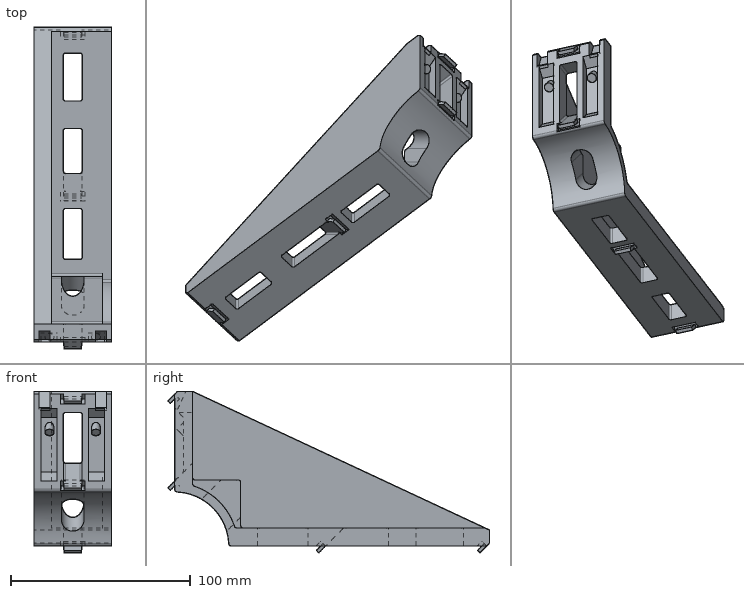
import cadquery as cq
import math

WIDTH = 43.0
LENGTH = 175.0
HEIGHT = 86.0
PLATE = 10.0
SIDE_WALL = 9.8
BACK_EDGE = 9.0
EDGE_CHAMFER = 1.6

SCALLOP_RADIUS = 30.0
SCALLOP_ROUND = 1.6
SHELL_RADIUS = 35.0
BLOCK_SIZE = 36.7
BLOCK_SETBACK = 5.0
BLOCK_ROUND = 1.0
INNER_ROUND = 1.6
HOLE_WIDTH = 12.5
HOLE_LENGTH = 22.3
HOLE_DROP = 3.4

SLOT_WIDTH = 10.4
SLOT_ROUND = 1.0
PLAIN_BASE_SLOTS = ((46.1, 74.2), (134.1, 160.5))
TABBED_BASE_SLOT_END = 118.7
TABBED_FRONT_SLOT_END = 74.2

TAB_REACH = 3.8
TAB_THICKNESS = 2.0
TAB_ROOT_WIDTH = 10.5
TAB_TIP_WIDTH = 9.5
TAB_EMBED = 0.9
GROOVE_WIDTH = 13.8
GROOVE_HEIGHT = 5.4
INNER_FRONT_TAB = 36.1
INNER_BASE_TAB = 83.9

CHANNEL_OFFSET = 13.2
CHANNEL_WIDTH = 8.8
CHANNEL_DEPTH = 5.0
CHANNEL_BOTTOM = 36.3
CHANNEL_TOP = 76.3
PEG_OFFSET = 12.9
PEG_DIAMETER = 5.2
PEG_END_Y = 3.0
PEG_END_Z = 63.1
PEG_LENGTH = 6.3
NOTCH_OFFSET = 15.7
NOTCH_WIDTH = 6.3
NOTCH_TOP_DEPTH = 6.3
NOTCH_FOOT_DEPTH = 1.5
NOTCH_FOOT_Z = 75.5

LEFT = -WIDTH / 2
RIGHT = WIDTH / 2
WALL_FACE = LEFT + SIDE_WALL
BLOCK_SIDE = RIGHT - BLOCK_SETBACK
OVERCUT = 1.8


def prism(points, x_start, x_end):
    """Extrude a (Y, Z) polygon between two X positions."""
    return cq.Workplane("YZ", origin=(x_start, 0, 0)).polyline(points).close().extrude(x_end - x_start)


def centred_prism(points, width, x_centre=0):
    return prism(points, x_centre - width / 2, x_centre + width / 2)


def corner_cylinder(radius, x_start, x_end):
    """Cylinder along X around the lower front corner."""
    return cq.Workplane("YZ", origin=(x_start, 0, 0)).circle(radius).extrude(x_end - x_start)


def edge_at(y, z):
    """Selector for the edge along X that lies nearest to (Y, Z)."""
    return cq.selectors.NearestToPointSelector((0, y, z))


def swap_base_and_front(body):
    """Exchange Y and Z, turning a front-face feature into an underside feature."""
    return body.rotate((0, 0, 0), (1, 0, 0), 90).mirror("XZ")


def make_envelope():
    """Side outline over the full width, with chamfers and the scalloped corner."""
    outline = [(0, 0), (LENGTH, 0), (LENGTH, BACK_EDGE), (PLATE, HEIGHT), (0, HEIGHT)]
    envelope = prism(outline, LEFT, RIGHT)
    for y, z in ((0, HEIGHT), (LENGTH, 0)):
        envelope = envelope.edges("|X").edges(edge_at(y, z)).chamfer(EDGE_CHAMFER)
    envelope = envelope.cut(corner_cylinder(SCALLOP_RADIUS, LEFT, RIGHT))
    for y, z in ((0, SCALLOP_RADIUS), (SCALLOP_RADIUS, 0)):
        envelope = envelope.edges("|X").edges(edge_at(y, z)).fillet(SCALLOP_ROUND)
    return envelope


def make_hollow_over_block():
    """Space above the plates and the block, next to the side wall."""
    far_y = LENGTH + OVERCUT
    far_z = HEIGHT + OVERCUT
    points = [(PLATE, BLOCK_SIZE), (BLOCK_SIZE, BLOCK_SIZE), (BLOCK_SIZE, PLATE),
              (far_y, PLATE), (far_y, far_z), (PLATE, far_z)]
    hollow = prism(points, WALL_FACE, BLOCK_SIDE)
    hollow = hollow.edges("|X").edges(edge_at(BLOCK_SIZE, BLOCK_SIZE)).fillet(BLOCK_ROUND)
    for y, z in ((PLATE, BLOCK_SIZE), (BLOCK_SIZE, PLATE)):
        hollow = hollow.edges("|X").edges(edge_at(y, z)).fillet(INNER_ROUND)
    return hollow


def make_hollow_over_shell():
    """Space above the plates and the round shell, at the open side."""
    far_y = LENGTH + OVERCUT
    far_z = HEIGHT + OVERCUT
    points = [(PLATE, PLATE), (far_y, PLATE), (far_y, far_z), (PLATE, far_z)]
    hollow = prism(points, BLOCK_SIDE, RIGHT).cut(corner_cylinder(SHELL_RADIUS, BLOCK_SIDE, RIGHT))
    shell_end = math.sqrt(SHELL_RADIUS**2 - PLATE**2)
    for y, z in ((PLATE, shell_end), (shell_end, PLATE)):
        hollow = hollow.edges("|X").edges(edge_at(y, z)).fillet(INNER_ROUND)
    return hollow


def make_corner_hole():
    """Oblong hole through the corner at 45 degrees."""
    plane = cq.Plane(origin=(0, 0, 0), xDir=(1, 0, 0), normal=(0, 1, 1))
    outline = cq.Workplane(plane).center(0, HOLE_DROP).slot2D(HOLE_LENGTH, HOLE_WIDTH, 90)
    return outline.extrude(2 * BLOCK_SIZE)


def make_plain_base_slot(start, end):
    slot = cq.Workplane("XY").center(0, (start + end) / 2).rect(SLOT_WIDTH, end - start).extrude(PLATE)
    return slot.edges("|Z").fillet(SLOT_ROUND)


def make_tabbed_front_slot(tab_z, end):
    """Front slot whose lower end slopes down to a tab, in the plane of the tab."""
    points = [(0, tab_z), (PLATE, tab_z + PLATE), (PLATE, end), (0, end)]
    slot = centred_prism(points, SLOT_WIDTH)
    return slot.edges("|Y or |(0,1,1)").fillet(SLOT_ROUND)


def make_groove(tab_z):
    points = [(0, tab_z), (GROOVE_HEIGHT / 2, tab_z - GROOVE_HEIGHT / 2), (0, tab_z - GROOVE_HEIGHT)]
    return centred_prism(points, GROOVE_WIDTH)


def make_tab(tab_z):
    """Tapered tab pointing forward and down from the front face."""
    length = TAB_REACH * math.sqrt(2)
    outline = [(-TAB_ROOT_WIDTH / 2, TAB_EMBED), (TAB_ROOT_WIDTH / 2, TAB_EMBED), (TAB_ROOT_WIDTH / 2, 0),
               (TAB_TIP_WIDTH / 2, -length), (-TAB_TIP_WIDTH / 2, -length), (-TAB_ROOT_WIDTH / 2, 0)]
    plane = cq.Plane(origin=(0, 0, tab_z), xDir=(1, 0, 0), normal=(0, -1, 1))
    return cq.Workplane(plane).polyline(outline).close().extrude(-TAB_THICKNESS)


def make_channel(x):
    """Upright channel with both ends sloping inwards at 45 degrees."""
    points = [(0, CHANNEL_BOTTOM), (CHANNEL_DEPTH, CHANNEL_BOTTOM + CHANNEL_DEPTH),
              (CHANNEL_DEPTH, CHANNEL_TOP - CHANNEL_DEPTH), (0, CHANNEL_TOP)]
    return centred_prism(points, CHANNEL_WIDTH, x)


def make_notch(x):
    """Steep notch in the top edge, leaving a small lip at its foot."""
    points = [(NOTCH_TOP_DEPTH, HEIGHT), (NOTCH_FOOT_DEPTH, NOTCH_FOOT_Z),
              (0, NOTCH_FOOT_Z + NOTCH_FOOT_DEPTH), (0, HEIGHT)]
    return centred_prism(points, NOTCH_WIDTH, x)


def make_peg(x):
    """Round peg standing on the channel floor, pointing forward and down."""
    plane = cq.Plane(origin=(x, PEG_END_Y, PEG_END_Z), xDir=(1, 0, 0), normal=(0, 1, 1))
    return cq.Workplane(plane).circle(PEG_DIAMETER / 2).extrude(PEG_LENGTH)


bracket = make_envelope()
bracket = bracket.cut(make_hollow_over_block()).cut(make_hollow_over_shell()).cut(make_corner_hole())

for slot_start, slot_end in PLAIN_BASE_SLOTS:
    bracket = bracket.cut(make_plain_base_slot(slot_start, slot_end))
bracket = bracket.cut(make_tabbed_front_slot(INNER_FRONT_TAB, TABBED_FRONT_SLOT_END))
bracket = bracket.cut(swap_base_and_front(make_tabbed_front_slot(INNER_BASE_TAB, TABBED_BASE_SLOT_END)))

for side in (-1, 1):
    bracket = bracket.cut(make_channel(side * CHANNEL_OFFSET))
    bracket = bracket.cut(make_notch(side * NOTCH_OFFSET))
    bracket = bracket.union(make_peg(side * PEG_OFFSET))

for tab_position in (INNER_FRONT_TAB, HEIGHT - EDGE_CHAMFER):
    bracket = bracket.cut(make_groove(tab_position)).union(make_tab(tab_position))
for tab_position in (INNER_BASE_TAB, LENGTH - EDGE_CHAMFER):
    bracket = bracket.cut(swap_base_and_front(make_groove(tab_position)))
    bracket = bracket.union(swap_base_and_front(make_tab(tab_position)))

result = bracket